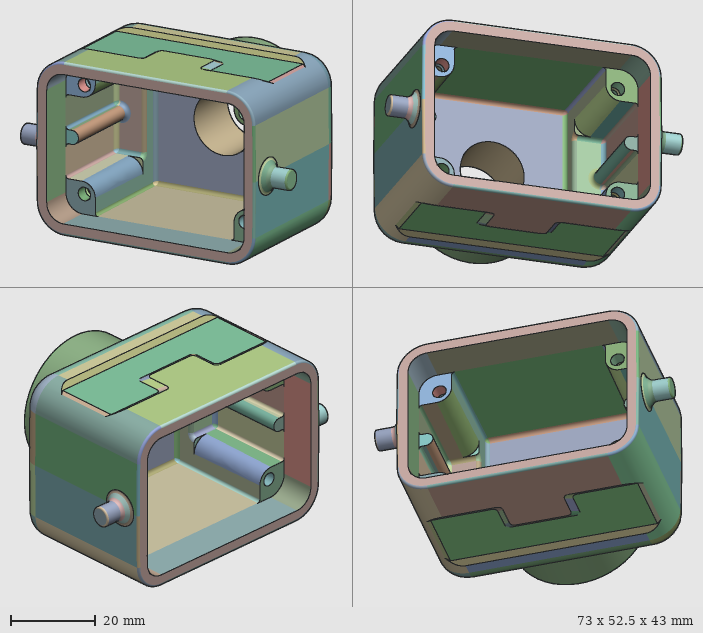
import cadquery as cq
import math

span_x = 73.0
total_depth = 52.5
body_depth = 39.9
body_height = 43.0
body_width_middle = 60.0
body_width_edge = 59.6
corner_radius = 7.6
back_edge_radius = 5.05
rim_radius = 0.6

collar_diameter = 34.3
collar_edge = 1.1
collar_base_radius = 0.8
bore_diameter = 16.0

mouth_width = 54.0
mouth_height = 37.1
mouth_radius = 4.6
post_face_y = 9.05
draft_angle = 0.76
centre_width = 37.95
centre_floor_y = 36.65
inner_corner_radius = 0.7
side_height = 20.9
side_floor_y = 32.05
floor_radius = 1.0
post_radius = 3.65

screw_x = 22.0
screw_z = 13.5
screw_diameter = 2.6
screw_back_y = 23.35
clearance_diameter = 3.35
clearance_back_y = 12.4
taper_back_y = 13.0

rib_radius = 1.75
rib_tip_x = 23.6

pin_y = 6.2
pin_diameter = 5.1
root_cone_radius = 4.15
root_neck_radius = 1.45
root_wall_radius = 1.1
pin_tip_radius = 0.45

recess_depth = 0.95
recess_slope_run = 1.7
recess_front_y = 12.1
recess_back_y = 31.9
tab_width = 15.2
tab_back_y = 20.0
tab_corner_radius = 2.8
floor_half_width = 25.55
bevel_half_width = 26.7
bevel_drop = 0.46

OVERLAP = 0.7


def depth_plane(y):
    """Sketch plane at depth y: local x is X, local y is Z, negative extrusion runs toward +Y."""
    return cq.Workplane(cq.Plane(origin=(0, y, 0), xDir=(1, 0, 0), normal=(0, -1, 0)))


def block(width, height, front_y, back_y):
    return depth_plane(front_y).rect(width, height).extrude(front_y - back_y)


def corner_zone(side):
    """Opposite corners of a box holding only the depth edges at the top (+1) or bottom (-1) of the body."""
    half_z = body_height / 2
    low = (-body_width_edge, body_depth / 2 - OVERLAP, side * half_z - OVERLAP)
    high = (body_width_edge, body_depth / 2 + OVERLAP, side * half_z + OVERLAP)
    return low, high


def make_body():
    """Rounded body whose side walls lean out slightly toward mid height."""
    half_z = body_height / 2
    edge_x = body_width_edge / 2
    middle_x = body_width_middle / 2
    outline = [
        (-edge_x, -half_z), (edge_x, -half_z), (middle_x, 0),
        (edge_x, half_z), (-edge_x, half_z), (-middle_x, 0),
    ]
    shell = depth_plane(0).polyline(outline).close().extrude(-body_depth)
    for side in (-1, 1):
        shell = shell.edges(cq.selectors.BoxSelector(*corner_zone(side))).fillet(corner_radius)
    shell = shell.faces(">Y").edges().fillet(back_edge_radius)
    return shell.faces("<Y").edges().fillet(rim_radius)


def make_collar():
    collar = depth_plane(body_depth - back_edge_radius).circle(collar_diameter / 2)
    collar = collar.extrude(body_depth - back_edge_radius - total_depth)
    return collar.faces(">Y").edges().fillet(collar_edge)


def make_outside():
    """Body and collar joined, with the curved foot of the collar blended into the back wall."""
    shell = make_body().union(make_collar())
    reach = collar_diameter / 2 + OVERLAP
    foot = cq.selectors.BoxSelector(
        (-reach, body_depth - OVERLAP, -reach), (reach, body_depth + OVERLAP, reach)
    )
    return shell.edges(foot).edges("not %LINE").fillet(collar_base_radius)


def make_rib(side):
    """Round-nosed guide rib running along one side wall."""
    nose_x = side * (rib_tip_x + rib_radius)
    nose = depth_plane(post_face_y).center(nose_x, 0).circle(rib_radius)
    nose = nose.extrude(post_face_y - centre_floor_y)
    web = block(2 * rib_radius, 2 * rib_radius, post_face_y, centre_floor_y)
    return nose.union(web.translate((nose_x + side * rib_radius, 0, 0)))


def drafted_block(width, height, back_y):
    """Block starting at the post faces and narrowing by the draft angle toward its floor."""
    return depth_plane(post_face_y).rect(width, height).extrude(post_face_y - back_y, taper=draft_angle)


def make_centre_cavity():
    centre = drafted_block(centre_width, mouth_height, centre_floor_y)
    centre = centre.edges("not(<Y or >Y)").fillet(inner_corner_radius)
    return centre.faces(">Y").edges().fillet(floor_radius)


def make_side_cavity():
    """Shallower cavity reaching both side walls, with the guide ribs left standing."""
    sides = drafted_block(mouth_width, side_height, side_floor_y)
    for side in (-1, 1):
        sides = sides.cut(make_rib(side))
    for side in (-1, 1):
        low = (side * mouth_width / 2 - OVERLAP, post_face_y, -side_height)
        high = (side * mouth_width / 2 + OVERLAP, side_floor_y, side_height)
        wall_corners = sides.edges("not(<Y or >Y)").edges(cq.selectors.BoxSelector(low, high))
        sides = wall_corners.fillet(inner_corner_radius)
    return sides.faces(">Y").edges().fillet(floor_radius)


def round_floor_steps(cavity):
    """Round the step where each side floor drops into the centre cavity."""
    for side in (-1, 1):
        low = (side * centre_width / 2 - OVERLAP, side_floor_y - OVERLAP / 2, -OVERLAP)
        high = (side * centre_width / 2 + OVERLAP, side_floor_y + OVERLAP / 2, OVERLAP)
        cavity = cavity.edges(cq.selectors.BoxSelector(low, high)).fillet(floor_radius)
    return cavity


def make_post_rounding(side_x, side_z):
    """Sliver between a sharp post corner and its rounded form."""
    corner_x = side_x * centre_width / 2
    corner_z = side_z * side_height / 2
    centre_x = corner_x + side_x * post_radius
    centre_z = corner_z + side_z * post_radius
    diagonal_step = post_radius * math.sqrt(0.5)
    arc_x = centre_x - side_x * diagonal_step
    arc_z = centre_z - side_z * diagonal_step
    inner_x = corner_x - side_x * 2 * OVERLAP
    inner_z = corner_z - side_z * 2 * OVERLAP
    end_x = centre_x + side_x * OVERLAP
    end_z = centre_z + side_z * OVERLAP
    sliver = depth_plane(post_face_y).moveTo(corner_x, end_z).lineTo(corner_x, centre_z)
    sliver = sliver.threePointArc((arc_x, arc_z), (centre_x, corner_z)).lineTo(end_x, corner_z)
    sliver = sliver.lineTo(end_x, inner_z).lineTo(inner_x, inner_z).lineTo(inner_x, end_z).close()
    return sliver.extrude(post_face_y - (side_floor_y - floor_radius), taper=draft_angle)


def make_cavity():
    mouth = block(mouth_width, mouth_height, -OVERLAP, post_face_y)
    mouth = mouth.edges("|Y").fillet(mouth_radius)
    inner = round_floor_steps(make_centre_cavity().union(make_side_cavity()))
    for side_x in (-1, 1):
        for side_z in (-1, 1):
            inner = inner.union(make_post_rounding(side_x, side_z))
    return mouth.union(inner)


def make_bore():
    length = total_depth - centre_floor_y + 2 * OVERLAP
    return depth_plane(centre_floor_y - OVERLAP).circle(bore_diameter / 2).extrude(-length)


def make_screw_hole(side_x, side_z):
    """Blind hole in one post: a wide clearance bore, a short taper and the narrow screw bore."""
    radius = screw_diameter / 2
    clearance_radius = clearance_diameter / 2
    half_section = [
        (0, post_face_y), (clearance_radius, post_face_y), (clearance_radius, clearance_back_y),
        (radius, taper_back_y), (radius, screw_back_y), (0, screw_back_y),
    ]
    hole = cq.Workplane("XY").polyline(half_section).close().revolve(360, (0, 0), (0, 1))
    return hole.translate((side_x * screw_x, 0, side_z * screw_z))


def make_pin(side):
    """Locking pin standing on one side wall, with a 45 degree root cone blended at both ends."""
    wall_x = body_width_middle / 2
    tip_x = span_x / 2
    radius = pin_diameter / 2
    cone_end_x = wall_x + root_cone_radius - radius
    half_turn_tangent = math.tan(math.radians(45) / 2)
    neck_tangent = root_neck_radius * half_turn_tangent
    wall_tangent = root_wall_radius * half_turn_tangent
    neck_step = neck_tangent * math.sqrt(0.5)
    wall_step = wall_tangent * math.sqrt(0.5)
    foot_radius = root_cone_radius + wall_tangent
    foot_x = wall_x - OVERLAP

    section = cq.Workplane("XY").moveTo(tip_x, 0).lineTo(tip_x, radius - pin_tip_radius)
    section = section.tangentArcPoint((tip_x - pin_tip_radius, radius), relative=False)
    section = section.lineTo(cone_end_x + neck_tangent, radius)
    section = section.tangentArcPoint((cone_end_x - neck_step, radius + neck_step), relative=False)
    section = section.lineTo(wall_x + wall_step, root_cone_radius - wall_step)
    section = section.tangentArcPoint((wall_x, foot_radius), relative=False)
    section = section.lineTo(foot_x, foot_radius).lineTo(foot_x, 0).close()
    pin = section.revolve(360, (0, 0), (1, 0))
    if side < 0:
        pin = pin.mirror("YZ")
    return pin.translate((0, pin_y, 0))


def recess_outline(drop):
    """Plan outline of the sloped recess walls at a given drop below the top face."""
    inset = drop * recess_slope_run / recess_depth
    end_x = body_width_edge / 2
    front_y = recess_front_y + inset
    back_y = recess_back_y - inset
    half_tab = tab_width / 2 + inset
    tab_y = tab_back_y + inset
    return [
        (-end_x, front_y), (-half_tab, front_y), (-half_tab, tab_y), (half_tab, tab_y),
        (half_tab, front_y), (end_x, front_y), (end_x, back_y), (-end_x, back_y),
    ]


def make_recess():
    """Sloped-wall lever recess for the top face, with a tab left standing at its front edge."""
    top_z = body_height / 2
    deepest = recess_depth + bevel_drop
    reach_x = body_width_edge / 2
    slopes = cq.Workplane("XY", origin=(0, 0, top_z)).polyline(recess_outline(0)).close()
    slopes = slopes.workplane(offset=-deepest).polyline(recess_outline(deepest)).close().loft(ruled=True)
    tab_zone = cq.selectors.BoxSelector((-tab_width, 0, top_z - deepest), (tab_width, body_depth, top_z))
    slopes = slopes.edges("not(<Z or >Z)").edges(tab_zone).fillet(tab_corner_radius)

    floor_z = top_z - recess_depth
    section = [
        (-reach_x, top_z - deepest), (-bevel_half_width, top_z - deepest), (-floor_half_width, floor_z),
        (floor_half_width, floor_z), (bevel_half_width, top_z - deepest), (reach_x, top_z - deepest),
        (reach_x, top_z + OVERLAP), (-reach_x, top_z + OVERLAP),
    ]
    floor_profile = cq.Workplane("XZ").polyline(section).close().extrude(-body_depth)
    return slopes.intersect(floor_profile)


result = make_outside().cut(make_cavity()).cut(make_bore())

for side_x in (-1, 1):
    result = result.union(make_pin(side_x))
    for side_z in (-1, 1):
        result = result.cut(make_screw_hole(side_x, side_z))

top_recess = make_recess()
result = result.cut(top_recess).cut(top_recess.mirror("XY"))